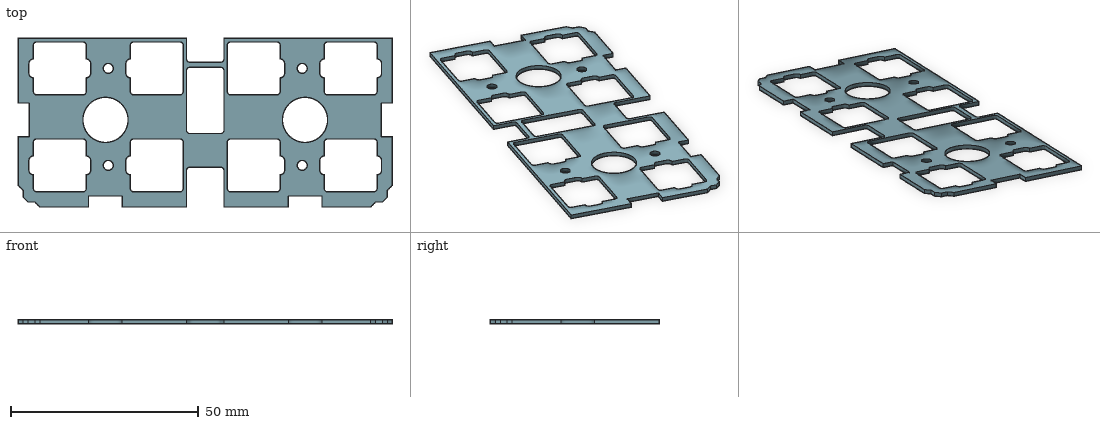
import cadquery as cq

LENGTH = 100.0
WIDTH = 45.16
THICKNESS = 1.11

PITCH = 25.9
GRID_CENTER_Y = 1.55
WINDOW_SIZE = 14.05
WINDOW_RADIUS = 0.8

RECESS_WIDTH = 5.0
RECESS_DEPTH = 1.2
RECESS_RADIUS = 1.2

SMALL_HOLE_DIAMETER = 2.6
LARGE_HOLE_DIAMETER = 12.0
LARGE_HOLE_X = 26.65
LARGE_HOLE_Y = 0.75

NOTCH_WIDTH = 8.95
NOTCH_DEPTH = 2.95

SLOT_WIDTH = 9.95
SLOT_RADIUS = 0.8
BAR_TOP_Y = 16.2
BAR_WIDTH = 1.45
BRIDGE_TOP_Y = -2.85
BRIDGE_WIDTH = 9.1

CORNER_CHAMFER = 1.35
CORNER_FLAT = 1.8

half_length = LENGTH / 2
half_width = WIDTH / 2
columns = [(-1.5 + i) * PITCH for i in range(4)]
rows = [GRID_CENTER_Y + side * PITCH / 2 for side in (-1, 1)]


def through_box(x_min, x_max, y_min, y_max):
    """Box spanning the full plate thickness between the given X and Y limits."""
    box = cq.Workplane("XY").box(x_max - x_min, y_max - y_min, THICKNESS, centered=False)
    return box.translate((x_min, y_min, 0))


def through_cylinder(diameter, x, y):
    """Cylinder spanning the plate thickness."""
    return cq.Workplane("XY").center(x, y).circle(diameter / 2).extrude(THICKNESS)


def window(x, y, recess_sides):
    """Rounded square window with a rounded clip recess on each listed X side."""
    half = WINDOW_SIZE / 2
    cutter = through_box(x - half, x + half, y - half, y + half).edges("|Z").fillet(WINDOW_RADIUS)
    for side in recess_sides:
        x_min, x_max = sorted((x, x + side * (half + RECESS_DEPTH)))
        recess = through_box(x_min, x_max, y - RECESS_WIDTH / 2, y + RECESS_WIDTH / 2)
        cutter = cutter.union(recess.edges("|Z").fillet(RECESS_RADIUS))
    return cutter


def stepped_corner(side):
    """Prism that trims the front corner on the given X side into its stepped shape."""
    reach = 3 * CORNER_CHAMFER + CORNER_FLAT
    inset_points = [
        (0, 0),
        (0, reach),
        (CORNER_CHAMFER, reach - CORNER_CHAMFER),
        (CORNER_CHAMFER, 2 * CORNER_CHAMFER),
        (2 * CORNER_CHAMFER, CORNER_CHAMFER),
        (reach - CORNER_CHAMFER, CORNER_CHAMFER),
        (reach, 0),
    ]
    points = [(side * (half_length - dx), -half_width + dy) for dx, dy in inset_points]
    return cq.Workplane("XY").polyline(points).close().extrude(THICKNESS)


def edge_notches(side):
    """Notches in the end edge and in the front edge on the given X side."""
    end_x = sorted((side * half_length, side * (half_length - NOTCH_DEPTH)))
    end_notch = through_box(*end_x, LARGE_HOLE_Y - NOTCH_WIDTH / 2, LARGE_HOLE_Y + NOTCH_WIDTH / 2)
    center_x = side * LARGE_HOLE_X
    front_notch = through_box(
        center_x - NOTCH_WIDTH / 2,
        center_x + NOTCH_WIDTH / 2,
        -half_width,
        -half_width + NOTCH_DEPTH,
    )
    return end_notch.union(front_notch)


def central_slot():
    """The open rear, closed middle and open front parts of the central slot."""
    half = SLOT_WIDTH / 2
    bar_bottom_y = BAR_TOP_Y - BAR_WIDTH
    bridge_bottom_y = BRIDGE_TOP_Y - BRIDGE_WIDTH
    rear = through_box(-half, half, BAR_TOP_Y, half_width).edges("|Z and <Y").fillet(SLOT_RADIUS)
    middle = through_box(-half, half, BRIDGE_TOP_Y, bar_bottom_y).edges("|Z").fillet(SLOT_RADIUS)
    front = through_box(-half, half, -half_width, bridge_bottom_y).edges("|Z and >Y").fillet(SLOT_RADIUS)
    return rear.union(middle).union(front)


plate = through_box(-half_length, half_length, -half_width, half_width)
plate = plate.cut(central_slot())

for row_y in rows:
    for column, column_x in enumerate(columns):
        recess_sides = {1: (-1,), 2: (1,)}.get(column, (-1, 1))
        plate = plate.cut(window(column_x, row_y, recess_sides))

for side in (-1, 1):
    plate = plate.cut(through_cylinder(LARGE_HOLE_DIAMETER, side * LARGE_HOLE_X, LARGE_HOLE_Y))
    plate = plate.cut(edge_notches(side))
    plate = plate.cut(stepped_corner(side))
    for row_y in rows:
        plate = plate.cut(through_cylinder(SMALL_HOLE_DIAMETER, side * PITCH, row_y))

result = plate